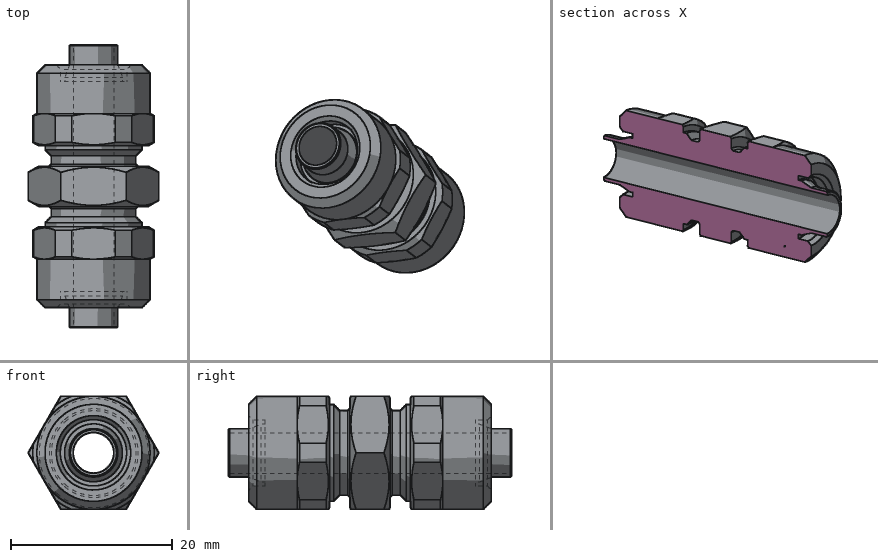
import cadquery as cq
import math


body_hex_end = 2.5
nut_inner_end = 5.0
nut_hex_end = 9.0
nut_outer_end = 15.0
tube_end = 17.5

across_flats = 14.0
hex_corner_diameter = across_flats / math.cos(math.radians(30))
nut_corner_radius = 7.5
hex_bevel_angle = math.radians(30)
hex_face_radius = 6.75

thread_radius = 6.0
neck_radius = 5.25
neck_bevel = 0.25
thread_end = 4.5

collar_radius = across_flats / 2
collar_chamfer = 1.0
mouth_radius = 4.1
mouth_chamfer = 0.5
mouth_depth = 2.0

tube_radius = 3.0
bore_radius = 2.5
tube_edge = 0.15
barb_length = 1.5
barb_radius = 3.58


def revolve_about_y(points):
    """Solid of revolution from a closed (radius, y) outline."""
    return cq.Workplane("XY").polyline(points).close().revolve(360, (0, 0, 0), (0, 1, 0))


def hex_prism(start, end):
    """Hexagonal bar along Y with corners on the X axis."""
    prism = cq.Workplane("XZ").polygon(6, hex_corner_diameter).extrude(start - end)
    return prism.translate((0, start, 0))


def beveled_hex(start, end, corner_radius, start_face_radius, end_face_radius):
    """Hexagon whose corners are turned to corner_radius and beveled at both ends."""
    slope = math.tan(hex_bevel_angle)
    start_bevel = (corner_radius - start_face_radius) * slope
    end_bevel = (corner_radius - end_face_radius) * slope
    envelope = revolve_about_y([
        (0, start),
        (start_face_radius, start),
        (corner_radius, start + start_bevel),
        (corner_radius, end - end_bevel),
        (end_face_radius, end),
        (0, end),
    ])
    return hex_prism(start, end).intersect(envelope)


def neck():
    """Relieved neck and thread between the middle hexagon and the nut."""
    return revolve_about_y([
        (0, 0),
        (neck_radius + neck_bevel, 0),
        (neck_radius + neck_bevel, body_hex_end),
        (neck_radius, body_hex_end + neck_bevel),
        (neck_radius, thread_end - (thread_radius - neck_radius)),
        (thread_radius, thread_end),
        (thread_radius, nut_inner_end),
        (0, nut_inner_end),
    ])


def collar():
    """Round outer part of the nut with its chamfered mouth."""
    floor = nut_outer_end - mouth_depth
    return revolve_about_y([
        (0, nut_hex_end),
        (collar_radius, nut_hex_end),
        (collar_radius, nut_outer_end - collar_chamfer),
        (collar_radius - collar_chamfer, nut_outer_end),
        (mouth_radius + mouth_chamfer, nut_outer_end),
        (mouth_radius, nut_outer_end - mouth_chamfer),
        (mouth_radius, floor),
        (0, floor),
    ])


def tube_stub():
    """Tube end standing in the nut mouth, widening to the barb."""
    return revolve_about_y([
        (0, nut_hex_end),
        (barb_radius, nut_hex_end),
        (barb_radius, nut_outer_end - barb_length),
        (tube_radius, nut_outer_end),
        (tube_radius, tube_end - tube_edge),
        (tube_radius - tube_edge, tube_end),
        (0, tube_end),
    ])


def bore():
    """Through bore."""
    return cq.Workplane("XZ").circle(bore_radius).extrude(tube_end, both=True)


nut_hex = beveled_hex(nut_inner_end, nut_hex_end, nut_corner_radius, hex_face_radius, collar_radius)
fitting_end = neck().union(nut_hex).union(collar()).union(tube_stub())
body_hex = beveled_hex(
    -body_hex_end, body_hex_end, hex_corner_diameter / 2, hex_face_radius, hex_face_radius
)
result = body_hex.union(fitting_end).union(fitting_end.mirror("XZ")).cut(bore())